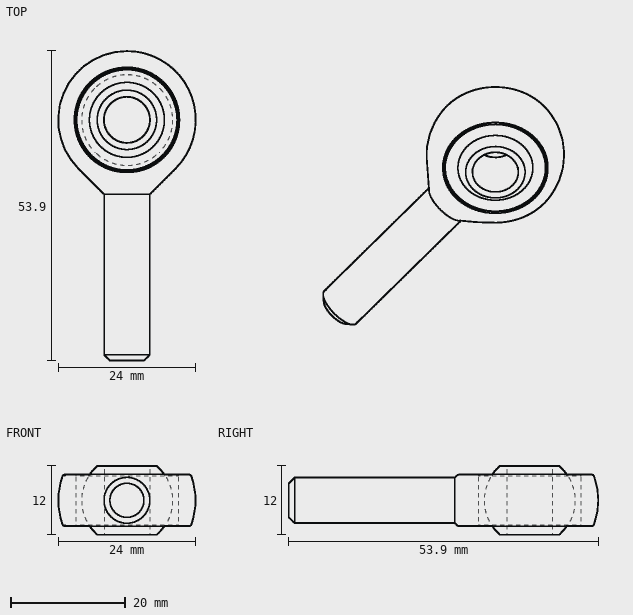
import cadquery as cq
import math

total_length = 53.9
head_diameter = 24.0
head_thickness = 9.0
head_edge_fillet = 0.5
neck_angle = 45.0

shank_diameter = 8.0
shank_end_chamfer = 1.0

race_diameter = 17.9
race_chamfer = 0.2

ball_width = 12.0
ball_face_diameter = 10.35
bore_diameter = 8.0

head_radius = head_diameter / 2
shank_radius = shank_diameter / 2
shank_end_y = head_radius - total_length
ball_radius = math.hypot(ball_width / 2, ball_face_diameter / 2)


def make_ball_sphere():
    return cq.Workplane("XY").sphere(ball_radius)


def make_head_blank():
    """Sphere blending into a tangent cone, revolved about Y and cut to two flat faces."""
    slope = math.radians(neck_angle)
    tangent_radius = head_radius * math.cos(slope)
    tangent_y = -head_radius * math.sin(slope)
    neck_end_y = tangent_y - (tangent_radius - shank_radius) / math.tan(slope)
    profile = (
        cq.Workplane("XY")
        .moveTo(0, head_radius)
        .threePointArc((head_radius, 0), (tangent_radius, tangent_y))
        .lineTo(shank_radius, neck_end_y)
        .lineTo(0, neck_end_y)
        .close()
    )
    blank = profile.revolve(360, (0, 0, 0), (0, 1, 0))
    slab = cq.Workplane("XY").box(2 * total_length, 2 * total_length, head_thickness)
    head = blank.intersect(slab)
    return head.faces("|Z").edges().fillet(head_edge_fillet)


def make_shank():
    """Round shank with a chamfered free end, reaching into the head."""
    shank = cq.Workplane("XZ").circle(shank_radius).extrude(-shank_end_y)
    return shank.faces("<Y").chamfer(shank_end_chamfer)


def make_housing():
    """Head and shank, with a through seat for the race chamfered at both mouths."""
    seat_radius = race_diameter / 2
    half_thickness = head_thickness / 2
    seat = (
        cq.Workplane("XZ")
        .moveTo(0, -half_thickness)
        .lineTo(seat_radius + race_chamfer, -half_thickness)
        .lineTo(seat_radius, race_chamfer - half_thickness)
        .lineTo(seat_radius, half_thickness - race_chamfer)
        .lineTo(seat_radius + race_chamfer, half_thickness)
        .lineTo(0, half_thickness)
        .close()
        .revolve(360, (0, 0, 0), (0, 1, 0))
    )
    return make_head_blank().union(make_shank()).cut(seat)


def make_race():
    """Chamfered ring with flat faces flush with the head and a spherical seat for the ball."""
    ring = cq.Workplane("XY").circle(race_diameter / 2).extrude(head_thickness / 2, both=True)
    ring = ring.faces("|Z").edges().chamfer(race_chamfer)
    return ring.cut(make_ball_sphere())


def make_ball():
    """Sphere cut to two flat faces and bored through along Z."""
    slab = cq.Workplane("XY").box(head_diameter, head_diameter, ball_width)
    bore = cq.Workplane("XY").circle(bore_diameter / 2).extrude(ball_width, both=True)
    return make_ball_sphere().intersect(slab).cut(bore)


housing = make_housing()
race = make_race()
ball = make_ball()

result = cq.Compound.makeCompound([housing.val(), race.val(), ball.val()])